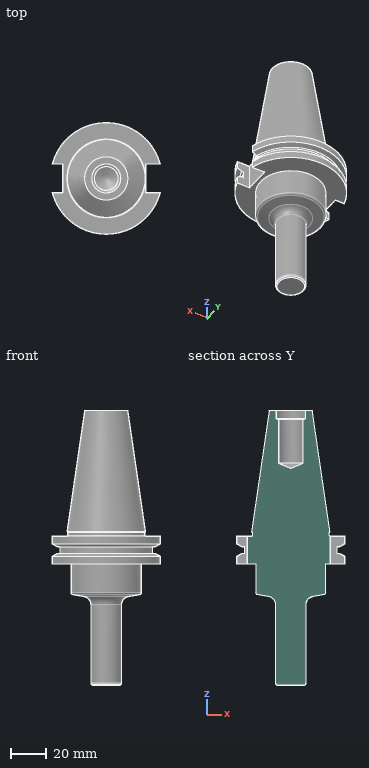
import cadquery as cq
import math

GAUGE_DIAMETER = 44.45
TAPER_LENGTH = 68.25
TAPER_RATIO = 7 / 24

TAPER_OVERRUN = 0.6
NECK_DIAMETER = 44.0
NECK_START_Z = -1.0
NECK_FILLET = 0.5

FLANGE_DIAMETER = 63.5
FLANGE_TOP_Z = -3.18
FLANGE_BOTTOM_Z = -19.05
GROOVE_MOUTH_WIDTH = 7.0
GROOVE_FLOOR_WIDTH = 3.8
GROOVE_FLOOR_DIAMETER = 55.2
GROOVE_WALL_ANGLE = 30
CUT_CLEARANCE = 1.0

SLOT_WIDTH = 16.2
LEFT_SLOT_FLOOR = 24.8
RIGHT_SLOT_FLOOR = 22.5

BODY_DIAMETER = 40.0
BODY_CORNER_Z = -36.25
BODY_CONE_ANGLE = 10
BODY_CORNER_FILLET = 1.25

PILOT_DIAMETER = 17.5
PILOT_ROOT_FILLET = 4.5
PILOT_END_Z = -88.0
PILOT_CHAMFER = 0.7
PILOT_LEAD_LENGTH = 0.9
PILOT_LEAD_DEPTH = 0.2

COUNTERBORE_DIAMETER = 16.48
COUNTERBORE_DEPTH = 4.6
BORE_DIAMETER = 13.5
BORE_DEPTH = 30.0
DRILL_POINT_ANGLE = 135


def make_holder():
    """Revolve the taper, neck, flange, body and pilot as one profile."""
    gauge_r = GAUGE_DIAMETER / 2
    small_r = gauge_r - TAPER_LENGTH * TAPER_RATIO / 2
    large_r = gauge_r + TAPER_OVERRUN * TAPER_RATIO / 2
    neck_r = NECK_DIAMETER / 2
    flange_r = FLANGE_DIAMETER / 2
    body_r = BODY_DIAMETER / 2
    pilot_r = PILOT_DIAMETER / 2
    lead_r = pilot_r - PILOT_LEAD_DEPTH
    chamfer_z = PILOT_END_Z + PILOT_CHAMFER
    cone_drop = (body_r - pilot_r) * math.tan(math.radians(BODY_CONE_ANGLE))

    profile = (
        cq.Workplane("XZ")
        .moveTo(0, TAPER_LENGTH)
        .lineTo(small_r, TAPER_LENGTH)
        .lineTo(large_r, -TAPER_OVERRUN)
        .lineTo(neck_r, NECK_START_Z)
        .lineTo(neck_r, FLANGE_TOP_Z)
        .lineTo(flange_r, FLANGE_TOP_Z)
        .lineTo(flange_r, FLANGE_BOTTOM_Z)
        .lineTo(body_r, FLANGE_BOTTOM_Z)
        .lineTo(body_r, BODY_CORNER_Z)
        .lineTo(pilot_r, BODY_CORNER_Z - cone_drop)
        .lineTo(pilot_r, chamfer_z + PILOT_LEAD_LENGTH)
        .lineTo(lead_r, chamfer_z)
        .lineTo(lead_r - PILOT_CHAMFER, PILOT_END_Z)
        .lineTo(0, PILOT_END_Z)
        .close()
    )
    holder = profile.revolve(360, (0, 0, 0), (0, 1, 0))

    holder = fillet_circle(holder, neck_r, FLANGE_TOP_Z, NECK_FILLET)
    holder = fillet_circle(holder, body_r, BODY_CORNER_Z, BODY_CORNER_FILLET)
    return fillet_circle(holder, pilot_r, BODY_CORNER_Z - cone_drop, PILOT_ROOT_FILLET)


def fillet_circle(solid, radius, z, fillet_radius):
    """Round the circular edge of the given radius and height."""
    margin = 0.01
    reach = radius + margin
    low_corner = (-reach, -reach, z - margin)
    high_corner = (reach, reach, z + margin)
    edge_box = cq.selectors.BoxSelector(low_corner, high_corner, boundingbox=True)
    return solid.edges(edge_box).fillet(fillet_radius)


def make_groove():
    """Ring that cuts the V groove around the flange."""
    flange_r = FLANGE_DIAMETER / 2
    floor_r = GROOVE_FLOOR_DIAMETER / 2
    half_mouth = GROOVE_MOUTH_WIDTH / 2
    half_floor = GROOVE_FLOOR_WIDTH / 2
    middle_z = (FLANGE_TOP_Z + FLANGE_BOTTOM_Z) / 2
    wall_r = flange_r - (half_mouth - half_floor) / math.tan(math.radians(GROOVE_WALL_ANGLE))
    clear_r = flange_r + CUT_CLEARANCE
    profile = (
        cq.Workplane("XZ")
        .moveTo(floor_r, middle_z + half_floor)
        .lineTo(wall_r, middle_z + half_floor)
        .lineTo(flange_r, middle_z + half_mouth)
        .lineTo(clear_r, middle_z + half_mouth)
        .lineTo(clear_r, middle_z - half_mouth)
        .lineTo(flange_r, middle_z - half_mouth)
        .lineTo(wall_r, middle_z - half_floor)
        .lineTo(floor_r, middle_z - half_floor)
        .close()
    )
    return profile.revolve(360, (0, 0, 0), (0, 1, 0))


def make_slot(side, floor_distance):
    """Block that cuts one drive slot; side is -1 for -X and +1 for +X."""
    length = FLANGE_DIAMETER / 2
    height = FLANGE_TOP_Z - FLANGE_BOTTOM_Z
    middle_z = (FLANGE_TOP_Z + FLANGE_BOTTOM_Z) / 2
    center = (side * (floor_distance + length / 2), 0, middle_z)
    return cq.Workplane("XY").box(length, SLOT_WIDTH, height).translate(center)


def make_bore():
    """Counterbored blind hole with a drill point, open at the top."""
    counterbore_r = COUNTERBORE_DIAMETER / 2
    bore_r = BORE_DIAMETER / 2
    ledge_z = TAPER_LENGTH - COUNTERBORE_DEPTH
    bottom_z = TAPER_LENGTH - BORE_DEPTH
    point_slope = 1 / math.tan(math.radians(DRILL_POINT_ANGLE / 2))
    ledge_drop = (counterbore_r - bore_r) * point_slope
    profile = (
        cq.Workplane("XZ")
        .moveTo(0, TAPER_LENGTH)
        .lineTo(counterbore_r, TAPER_LENGTH)
        .lineTo(counterbore_r, ledge_z)
        .lineTo(bore_r, ledge_z - ledge_drop)
        .lineTo(bore_r, bottom_z)
        .lineTo(0, bottom_z - bore_r * point_slope)
        .close()
    )
    return profile.revolve(360, (0, 0, 0), (0, 1, 0))


result = (
    make_holder()
    .cut(make_groove())
    .cut(make_slot(-1, LEFT_SLOT_FLOOR))
    .cut(make_slot(1, RIGHT_SLOT_FLOOR))
    .cut(make_bore())
)